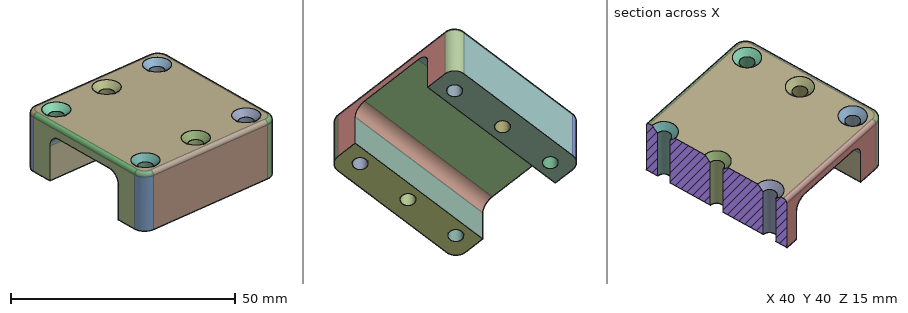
import cadquery as cq

side = 40.0
height = 15.0
corner_radius = 3.0
top_edge_radius = 1.0

channel_width = 23.0
roof_thickness = 3.0
channel_height = height - roof_thickness
channel_corner_radius = 3.0

hole_diameter = 3.5
countersink_diameter = 6.5
countersink_angle = 90.0
column_spacing = 30.0
row_spacing = column_spacing / 2
column_count = 2
row_count = 3


def make_block():
    """Square block with rounded upright corners and a rounded top edge."""
    block = cq.Workplane("XY").rect(side, side).extrude(height)
    block = block.edges("|Z").fillet(corner_radius)
    return block.faces(">Z").edges().fillet(top_edge_radius)


def make_channel():
    """Channel volume with rounded upper corners, standing on the base plane."""
    channel = cq.Workplane("XY").rect(channel_width, side).extrude(channel_height)
    return channel.faces(">Z").edges("|Y").fillet(channel_corner_radius)


def drill_screw_holes(body):
    """Drill the countersunk holes from the top face down through the legs."""
    return (
        body.faces(">Z")
        .workplane(origin=(0, 0, height))
        .rarray(column_spacing, row_spacing, column_count, row_count)
        .cskHole(hole_diameter, countersink_diameter, countersink_angle)
    )


result = drill_screw_holes(make_block().cut(make_channel()))